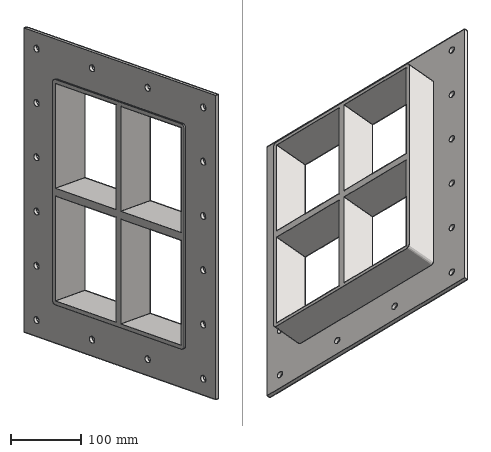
import cadquery as cq

frame_width = 263.0
frame_height = 343.0
frame_wall = 6.0
frame_corner_radius = 6.0

upright_bar_thickness = 10.0
cross_bar_thickness = 12.0

frame_depth = 60.0
flange_thickness = 6.0
front_lip = 3.0

flange_margin = 60.0
hole_diameter = 10.0
hole_edge_distance = 25.0
holes_across = 4
holes_up = 6

opening_width = (frame_width - 2 * frame_wall - upright_bar_thickness) / 2
opening_height = (frame_height - 2 * frame_wall - cross_bar_thickness) / 2
opening_pitch_x = opening_width + upright_bar_thickness
opening_pitch_z = opening_height + cross_bar_thickness
flange_width = frame_width + 2 * flange_margin
flange_height = frame_height + 2 * flange_margin


def centered_block(width, depth, height, front_y):
    """Box centred in X and Z, reaching from front_y towards +Y."""
    block = cq.Workplane("XY").box(width, depth, height, centered=(True, False, True))
    return block.translate((0, front_y, 0))


def bolt_hole_positions():
    """X, Z centres of the evenly spaced holes around the flange edge."""
    first_x = -flange_width / 2 + hole_edge_distance
    first_z = -flange_height / 2 + hole_edge_distance
    pitch_x = -2 * first_x / (holes_across - 1)
    pitch_z = -2 * first_z / (holes_up - 1)
    positions = []
    for column in range(holes_across):
        for row in range(holes_up):
            on_side = column in (0, holes_across - 1)
            on_end = row in (0, holes_up - 1)
            if on_side or on_end:
                positions.append((first_x + column * pitch_x, first_z + row * pitch_z))
    return positions


def make_flange():
    """Flat plate with a ring of bolt holes."""
    plate = centered_block(flange_width, flange_thickness, flange_height, front_lip)
    holes = (
        cq.Workplane("XZ")
        .pushPoints(bolt_hole_positions())
        .circle(hole_diameter / 2)
        .extrude(-frame_depth)
    )
    return plate.cut(holes)


def make_frame_body():
    """Solid block of the frame with rounded outer corners."""
    block = centered_block(frame_width, frame_depth, frame_height, 0)
    return block.edges("|Y").fillet(frame_corner_radius)


def make_openings():
    """The four window openings, running through the full depth."""
    return (
        cq.Workplane("XZ")
        .rarray(opening_pitch_x, opening_pitch_z, 2, 2)
        .rect(opening_width, opening_height)
        .extrude(-frame_depth)
    )


result = make_flange().union(make_frame_body()).cut(make_openings())